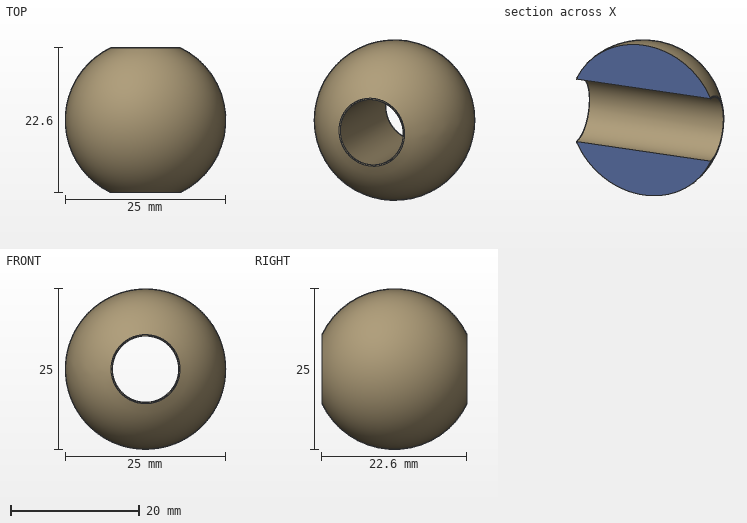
import cadquery as cq

ball_diameter = 25.0
width_across_flats = 22.58
bore_diameter = 10.3

ball_radius = ball_diameter / 2
bore_radius = bore_diameter / 2
half_width = width_across_flats / 2
flat_radius = (ball_radius**2 - half_width**2) ** 0.5

half_section = (
    cq.Workplane("XY")
    .moveTo(-bore_radius, -half_width)
    .lineTo(-flat_radius, -half_width)
    .threePointArc((-ball_radius, 0), (-flat_radius, half_width))
    .lineTo(-bore_radius, half_width)
    .close()
)

result = half_section.revolve(360, (0, 0, 0), (0, 1, 0))